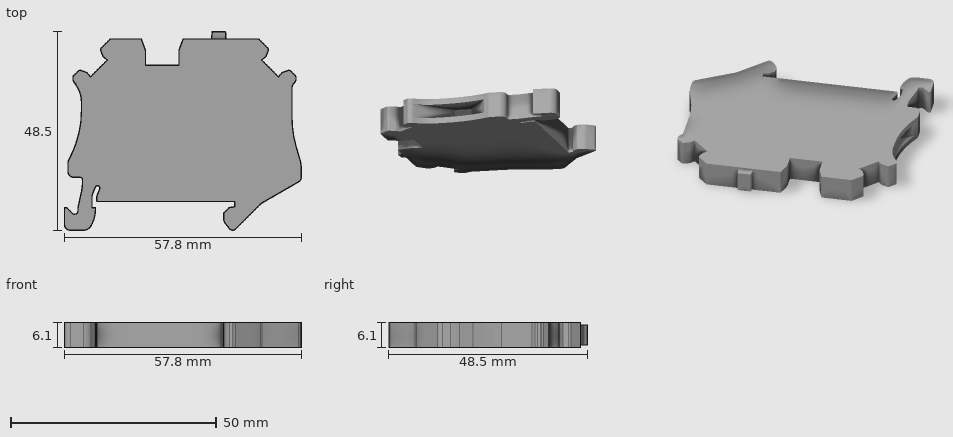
import cadquery as cq
import math


length = 57.8
height = 48.45
thickness = 6.1

top_y = 46.7
groove_center_x = 23.9
groove_floor_y = 40.3
groove_floor_half_width = 4.05
groove_mouth_half_width = 5.1
groove_mouth_depth = 2.85

shoulder_axis_x = 29.3
lobe_tip_radius = 0.6
lobe_end_x = 2.1

left_wall_x = 4.15
heel_x = 0.85
heel_y = 12.9
right_wall_x = 55.55
wall_sweep_radius = 24.85

rail_y = 7.0
rail_right_x = 41.5
foot_left_x = 38.85
lip_y = 5.55
rail_corner_radius = 0.3
rail_inner_radius = 0.1
hook_right_x = 7.65
hook_stem_right_x = 4.4
hook_stem_left_x = 3.3
hook_notch_y = 4.0

slot_left_x = 6.75
slot_width = 1.1
slot_tilt = math.radians(22)
slot_cap_center = (8.1, 10.3)
slot_bend_radius = 2.3
slot_end_roundness = 0.98

funnel_width = 3.3
funnel_top_y = 36.1
funnel_bottom_y = 18.2
funnel_end_top_y = 27.8
funnel_end_bottom_y = 23.7
funnel_mouth_x = 2.4
funnel_end_x = funnel_mouth_x + funnel_top_y - funnel_end_top_y
funnel_lower_mouth_x = 1.6

tab_thickness = 4.95
tab_left_x = 35.85
tab_right_x = 39.35
tab_slant = 0.25
tab_corner = 0.35
tab_root = 0.6


def rounded_outline(corners):
    """Closed wire through (x, y, radius) corners, each rounded by a tangent arc."""
    spans = []
    for i, (x, y, radius) in enumerate(corners):
        corner = cq.Vector(x, y)
        to_previous = (cq.Vector(*corners[i - 1][:2]) - corner).normalized()
        to_next = (cq.Vector(*corners[(i + 1) % len(corners)][:2]) - corner).normalized()
        half_angle = to_previous.getAngle(to_next) / 2
        setback = radius / math.tan(half_angle)
        bisector = (to_previous + to_next).normalized()
        middle = corner + bisector * (radius / math.sin(half_angle) - radius)
        spans.append((corner + to_previous * setback, middle, corner + to_next * setback))

    edges = []
    for i, (start, middle, end) in enumerate(spans):
        previous_end = spans[i - 1][2]
        edges.append(cq.Edge.makeLine(previous_end, start))
        if corners[i][2] > 0:
            edges.append(cq.Edge.makeThreePointArc(start, middle, end))
    return cq.Wire.assembleEdges(edges)


def prism(corners, depth):
    """Extrude a rounded outline, centred through the plate thickness."""
    wire = rounded_outline(corners)
    bottom_z = (thickness - depth) / 2
    solid = cq.Solid.extrudeLinear(wire, [], cq.Vector(0, 0, depth))
    return cq.Workplane(solid).translate((0, 0, bottom_z))


def slot_corners():
    """Relief slot from the rail face, over its rounded end, down the hook side."""
    along = cq.Vector(math.sin(slot_tilt), math.cos(slot_tilt))
    across = cq.Vector(math.cos(slot_tilt), -math.sin(slot_tilt))
    cap_radius = slot_width / 2
    apex = cq.Vector(*slot_cap_center) + along * cap_radius
    cap_left = apex - across * cap_radius
    cap_right = apex + across * cap_radius
    slot_right_x = slot_left_x + slot_width
    left_bend_y = cap_left.y - (cap_left.x - slot_left_x) / math.tan(slot_tilt)
    right_bend_y = cap_right.y - (cap_right.x - slot_right_x) / math.tan(slot_tilt)
    end_radius = cap_radius * slot_end_roundness
    return [
        (slot_right_x, rail_y, rail_corner_radius),
        (slot_right_x, right_bend_y, slot_bend_radius),
        (cap_right.x, cap_right.y, end_radius),
        (cap_left.x, cap_left.y, end_radius),
        (slot_left_x, left_bend_y, slot_bend_radius),
    ]


shoulder = [
    (lobe_end_x, 36.55, 1.3),
    (lobe_end_x, 37.5, 0.7),
    (3.7, 39.15, lobe_tip_radius),
    (5.5, 38.5, 0.25),
    (6.4, 37.45, 0),
    (10.45, 41.5, 0),
    (9.4, 42.35, 0.25),
    (8.7, 44.15, lobe_tip_radius),
    (11.25, top_y, 0),
]
right_shoulder = [(2 * shoulder_axis_x - x, y, r) for x, y, r in reversed(shoulder)]

groove_chamfer_y = top_y - groove_mouth_depth
groove = [
    (groove_center_x - groove_mouth_half_width, top_y, 0.35),
    (groove_center_x - groove_floor_half_width, groove_chamfer_y, 0),
    (groove_center_x - groove_floor_half_width, groove_floor_y, 0),
    (groove_center_x + groove_floor_half_width, groove_floor_y, 0),
    (groove_center_x + groove_floor_half_width, groove_chamfer_y, 0),
    (groove_center_x + groove_mouth_half_width, top_y, 0),
]

right_wall = [
    (right_wall_x, 35.25, 1.15),
    (right_wall_x, 23.9, wall_sweep_radius),
    (length, 16.1, 8.1),
    (length, 12.2, 1.45),
]

right_foot = [
    (48.0, 6.55, 2.1),
    (41.45, 0, 0.85),
    (40.6, 0, 1.0),
    (foot_left_x, 2.2, 1.75),
    (foot_left_x, 4.2, 0.35),
    (40.2, lip_y, 0.25),
    (rail_right_x, 5.8, 0),
    (rail_right_x, rail_y, rail_inner_radius),
]

left_hook = [
    (slot_left_x, lip_y, 0),
    (hook_right_x, lip_y, 0),
    (hook_right_x, 3.0, 8.1),
    (5.9, 0, 2.15),
    (0, 0, 1.5),
    (0, lip_y, 0),
    (0.6, lip_y, 0.25),
    (2.15, hook_notch_y, 0.35),
    (hook_stem_left_x, hook_notch_y, 0.7),
    (hook_stem_left_x, 5.45, 1.6),
    (hook_stem_right_x, 10.45, 8.0),
    (hook_stem_right_x, heel_y, 0.5),
]

left_wall = [
    (heel_x, heel_y, 1.5),
    (heel_x, 16.8, 1.6),
    (left_wall_x, 22.8, wall_sweep_radius),
    (left_wall_x, 33.45, 7.3),
]

body = prism(
    shoulder + groove + right_shoulder + right_wall + right_foot + slot_corners() + left_hook + left_wall,
    thickness,
)

funnel = prism(
    [
        (0, funnel_top_y, 0),
        (funnel_mouth_x, funnel_top_y, 0),
        (funnel_end_x, funnel_end_top_y, 0),
        (funnel_end_x, funnel_end_bottom_y, 0),
        (funnel_lower_mouth_x, funnel_bottom_y, 0),
        (0, funnel_bottom_y, 0),
    ],
    funnel_width,
)

tab = prism(
    [
        (tab_left_x, top_y - tab_root, 0),
        (tab_left_x, top_y, 0),
        (tab_left_x + tab_slant, height, 0),
        (tab_right_x, height, tab_corner),
        (tab_right_x, top_y - tab_root, 0),
    ],
    tab_thickness,
)

result = body.cut(funnel).union(tab)